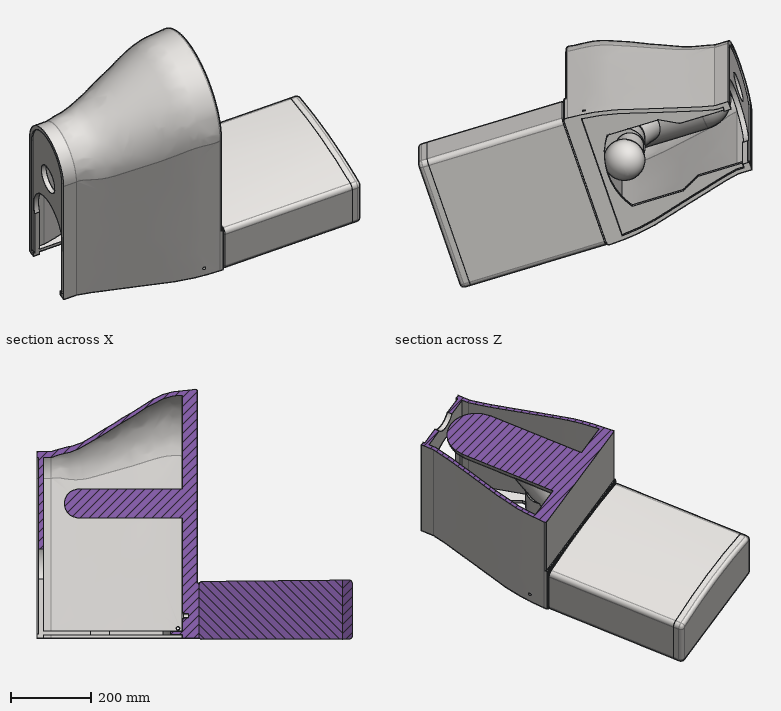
import cadquery as cq


total_length = 786.5
total_width = 355.0
half_width = total_width / 2
total_height = 636.0
bowl_back = 2.0
wall = 11.0
floor_bottom = 11.0
floor_top = 20.5

foot_half_width = 96.0
foot_crown = 496.0
foot_end = 35.5
rim_start = 394.0
bowl_sections = [
    (foot_end, foot_half_width, foot_crown),
    (71.0, 104.0, 503.5),
    (122.0, 118.0, 517.5),
    (177.0, 134.0, 548.0),
    (252.0, 156.0, 591.5),
    (315.0, 170.0, 624.5),
    (362.0, 175.5, 632.5),
    (rim_start, half_width, total_height),
]
rim_end = 399.5
rim_chamfer = 2.0

deck_height = 141.0
deck_end = 403.0
pad_inset = 2.0
pad_end = 405.0

panel_recess = 4.0
panel_back = 17.0
hole_radius = 38.0
hole_height = 338.0
arch_radius = 80.0
arch_height = 181.0
slot_width = 149.0
slot_half_width = slot_width / 2

cavity_end = 362.0
slot_flare_start = 134.0
slot_flare_end = 181.0
slot_flared_half_width = 100.0
slot_side_end = 315.0
slot_end = 346.0
basin_radius = 77.0
basin_nose = 27.5

trap_y = 303.0
trap_diameter = 103.0
trap_radius = trap_diameter / 2
trap_ball_height = 76.0
neck_radius = 35.0
neck_shift = 14.0
neck_fillet = 12.0
collar_bottom = 160.5
collar_top = 222.0
inlet_start = 212.0
inlet_setback = 31.5
inlet_length = 181.0

side_hole_radius = 4.0
side_hole_y = 351.5
side_hole_z = 27.5
bolt_hole_radius = 5.0
bolt_spacing = 136.0
bolt_hole_z = 59.0
bolt_hole_depth = 16.0
bolt_recess_radius = 7.0
bolt_recess_depth = 4.0

lid_start = 761.5
lid_fillet = 10.0
tank_corner_radius = 13.0
tank_bottom_chamfer = 3.0
tank_edge_height = 136.0
tank_bottom_crown = 146.0
tank_top_crown = 151.0


def plane_at(y):
    """Plane across the part at distance y from the floor; local y is Z, its normal is +Y."""
    return cq.Plane(origin=(0, y, 0), xDir=(-1, 0, 0), normal=(0, 1, 0))


def arch_wire(workplane, width, crown, base):
    """Closed outline with straight sides and a half-round crown."""
    shoulder = crown - width
    return (
        workplane.moveTo(-width, base)
        .lineTo(width, base)
        .lineTo(width, shoulder)
        .threePointArc((0, crown), (-width, shoulder))
        .close()
    )


def arch_prism(y_start, y_end, width, crown, base):
    outline = arch_wire(cq.Workplane(plane_at(y_start)), width, crown, base)
    return outline.extrude(y_end - y_start)


def bowl_body(inset, base):
    """Straight foot and flaring body, drawn in by the inset and standing on the base height."""
    foot = arch_prism(0, foot_end, foot_half_width - inset, foot_crown - inset, base)
    wires = [
        arch_wire(cq.Workplane(plane_at(y)), width - inset, crown - inset, base).val()
        for y, width, crown in bowl_sections
    ]
    return foot.union(cq.Workplane(cq.Solid.makeLoft(wires)))


def box_between(x_half, y_start, y_end, z_start, z_end):
    block = cq.Workplane().box(2 * x_half, y_end - y_start, z_end - z_start, centered=(True, False, False))
    return block.translate((0, y_start, z_start))


def cylinder(radius, length, start, direction):
    return cq.Workplane(cq.Solid.makeCylinder(radius, length, cq.Vector(*start), cq.Vector(*direction)))


def make_rim_and_deck():
    rim = arch_prism(rim_start, rim_end, half_width, total_height, bowl_back)
    rim = rim.faces(">Y").chamfer(rim_chamfer)
    deck = box_between(half_width, rim_start, deck_end, bowl_back, deck_height)
    pad = box_between(half_width - pad_inset, rim_start, pad_end, bowl_back, deck_height - pad_inset)
    return rim.union(deck).union(pad)


def make_cavity():
    kept_range = box_between(half_width, panel_back, cavity_end, 0, total_height)
    return bowl_body(wall, floor_top).intersect(kept_range)


def make_floor_recess():
    """Shallow recess below the floor, open at the back of the bowl."""
    kept_range = box_between(half_width, panel_back, cavity_end, 0, floor_bottom)
    return bowl_body(wall, 0).intersect(kept_range)


def make_trap_opening():
    """Arch through the foot panel with a slot running out of the back of the bowl."""
    arch = cylinder(arch_radius, panel_back, (0, 0, arch_height), (0, 1, 0))
    slot = box_between(slot_half_width, 0, panel_back, 0, arch_height)
    back_slot = (
        cq.Workplane()
        .moveTo(-slot_half_width, 0)
        .lineTo(slot_half_width, 0)
        .lineTo(slot_half_width, slot_flare_start)
        .lineTo(slot_flared_half_width, slot_flare_end)
        .lineTo(slot_flared_half_width, slot_side_end)
        .threePointArc((0, slot_end), (-slot_flared_half_width, slot_side_end))
        .lineTo(-slot_flared_half_width, slot_flare_end)
        .lineTo(-slot_half_width, slot_flare_start)
        .close()
        .extrude(floor_top)
    )
    return arch.union(slot).union(back_slot)


def make_basin():
    """Underside of the water basin: a round-nosed cylinder reaching to the cavity wall."""
    nose_centre = (0, basin_nose + basin_radius, hole_height)
    body = cylinder(basin_radius, cavity_end - nose_centre[1], nose_centre, (0, 1, 0))
    nose = cq.Workplane().sphere(basin_radius).translate(nose_centre)
    return body.union(nose)


def make_trap():
    """Ball-ended outlet with its neck, the collar above it and the inlet sloping up to the basin."""
    ball = cq.Workplane().sphere(trap_radius).translate((0, trap_y, trap_ball_height))
    neck_base = (0, trap_y - neck_shift, trap_ball_height)
    neck = cylinder(neck_radius, collar_bottom - trap_ball_height, neck_base, (0, 0, 1))
    joint_zone = cq.selectors.BoxSelector(
        (-trap_radius, 0, trap_ball_height + neck_fillet),
        (trap_radius, cavity_end, collar_bottom - neck_fillet),
    )
    outlet = ball.union(neck).edges(joint_zone).edges("not %LINE").fillet(neck_fillet)
    collar = cylinder(trap_radius, collar_top - collar_bottom, (0, trap_y, collar_bottom), (0, 0, 1))
    inlet = cylinder(trap_radius, inlet_length, (0, trap_y + inlet_setback, inlet_start), (0, -1, 1))
    return outlet.union(collar).union(inlet)


def make_bowl():
    bowl = bowl_body(0, bowl_back).union(make_rim_and_deck())
    bowl = bowl.cut(make_cavity()).cut(make_floor_recess())
    recess = arch_prism(0, panel_recess, foot_half_width - wall, foot_crown - wall, bowl_back + wall)
    bowl = bowl.cut(recess)
    bowl = bowl.cut(cylinder(hole_radius, panel_back, (0, 0, hole_height), (0, 1, 0)))
    bowl = bowl.cut(make_trap_opening())
    bowl = bowl.union(make_basin()).union(make_trap())
    bowl = bowl.cut(
        cylinder(side_hole_radius, total_width, (-half_width, side_hole_y, side_hole_z), (1, 0, 0))
    )
    for side in (-1, 1):
        mouth = (side * bolt_spacing / 2, cavity_end, bolt_hole_z)
        bowl = bowl.cut(cylinder(bolt_hole_radius, bolt_hole_depth, mouth, (0, 1, 0)))
        bowl = bowl.cut(cylinder(bolt_recess_radius, bolt_recess_depth, mouth, (0, 1, 0)))
    return bowl


def crown_at(y):
    """Height of the bowed cistern front at its middle, rising evenly towards the lid."""
    share = (y - pad_end) / (total_length - pad_end)
    return tank_bottom_crown + share * (tank_top_crown - tank_bottom_crown)


def bowed_wire(y):
    return (
        cq.Workplane(plane_at(y))
        .moveTo(-half_width, 0)
        .lineTo(half_width, 0)
        .lineTo(half_width, tank_edge_height)
        .threePointArc((0, crown_at(y)), (-half_width, tank_edge_height))
        .close()
        .val()
    )


def bowed_block(y_start, y_end):
    block = cq.Workplane(cq.Solid.makeLoft([bowed_wire(y_start), bowed_wire(y_end)], True))
    lengthwise_edges = block.edges("not(<Y or >Y)")
    return lengthwise_edges.fillet(tank_corner_radius)


def make_tank():
    return bowed_block(pad_end, lid_start).faces("<Y").chamfer(tank_bottom_chamfer)


def make_lid():
    return bowed_block(lid_start, total_length).faces(">Y").edges().fillet(lid_fillet)


bowl = make_bowl()
tank = make_tank()
lid = make_lid()

result = cq.Compound.makeCompound([bowl.solids().val(), tank.solids().val(), lid.solids().val()])